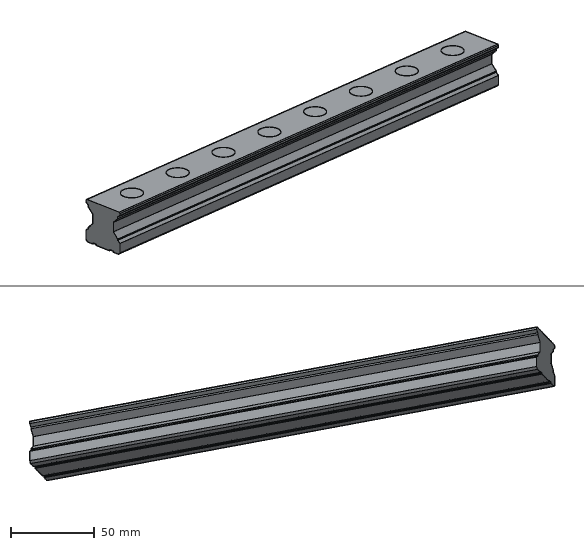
import cadquery as cq
import math

length = 330.0
width = 28.0
height = 28.0
half_width = width / 2

bottom_chamfer = 1.3
top_chamfer = 0.5
flank_half_width = 12.2
waist_half_width = 8.5
waist_bottom = 13.5
waist_top = 19.8
base_side_top = 7.5
lip_side_bottom = 26.0
ledge_angle = math.radians(40)

waist_flare = flank_half_width - waist_half_width
lower_flank_height = waist_bottom - waist_flare
upper_flank_height = waist_top + waist_flare

ledge_rise = (half_width - flank_half_width) * math.tan(ledge_angle)
base_ledge_top = base_side_top + ledge_rise
lip_ledge_bottom = lip_side_bottom - ledge_rise

groove_offset = 7.0
groove_width = 2.5
groove_depth = 0.5

cap_count = 8
cap_pitch = 40.0
cap_diameter = 14.0
cap_recess = 0.15


def rail_body():
    """Extrude the waisted profile, symmetric about the YZ plane, along Y."""
    right_side = [
        (half_width - bottom_chamfer, 0),
        (half_width, bottom_chamfer),
        (half_width, base_side_top),
        (flank_half_width, base_ledge_top),
        (flank_half_width, lower_flank_height),
        (waist_half_width, waist_bottom),
        (waist_half_width, waist_top),
        (flank_half_width, upper_flank_height),
        (flank_half_width, lip_ledge_bottom),
        (half_width, lip_side_bottom),
        (half_width, height - top_chamfer),
        (half_width - top_chamfer, height),
    ]
    left_side = [(-x, z) for x, z in reversed(right_side)]
    profile = cq.Workplane("XZ").polyline(right_side + left_side).close()
    return profile.extrude(length / 2, both=True)


def underside_grooves():
    """Two full-length grooves, one on each side of the centre line."""
    return (
        cq.Workplane("XY")
        .pushPoints([(-groove_offset, 0), (groove_offset, 0)])
        .rect(groove_width, length)
        .extrude(groove_depth)
    )


def cap_recesses():
    """Shallow round recesses in one row along the centre of the top face."""
    return (
        cq.Workplane("XY")
        .workplane(offset=height - cap_recess)
        .rarray(3.3, cap_pitch, 1, cap_count)
        .circle(cap_diameter / 2)
        .extrude(cap_recess)
    )


result = rail_body().cut(underside_grooves()).cut(cap_recesses())